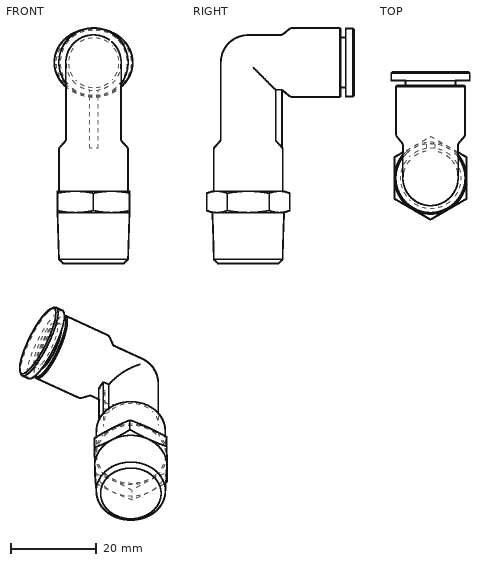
import cadquery as cq
import math


total_height = 55.45
body_radius = 8.15
stem_radius = 6.5
elbow_height = total_height - body_radius
socket_reach = 25.0

thread_length = 12.0
thread_top_radius = 8.5
thread_taper = 1 / 16
thread_chamfer = 1.0

hex_across_flats = 17.0
hex_height = 5.0
hex_chamfer_drop = 0.45
hex_sides = 6
hex_turn = 180 / hex_sides
hex_top = thread_length + hex_height

lower_shoulder_start = 18.35
lower_shoulder_end = 20.15
lower_shoulder_fillet = 0.75
socket_shoulder_start = 8.0
socket_shoulder_end = 9.95
socket_shoulder_fillet = 1.1

collar_width = 18.5
collar_height = 16.1
collar_thickness = 2.1
collar_chamfer = 0.4
neck_radius = 5.9
neck_gap = 1.1
mouth_chamfer = 0.3
socket_length = socket_reach - collar_thickness - neck_gap

web_thickness = 2.0
web_depth = 8.0


def stepped_leg(shoulder_start, shoulder_end, length, fillet):
    """Solid along +Z from the elbow centre, widening from stem to body over a cone."""
    leg = (
        cq.Workplane("XZ")
        .moveTo(0, 0)
        .lineTo(stem_radius, 0)
        .lineTo(stem_radius, shoulder_start)
        .lineTo(body_radius, shoulder_end)
        .lineTo(body_radius, length)
        .lineTo(0, length)
        .close()
        .revolve(360, (0, 0), (0, 1))
    )
    return leg.edges("%CIRCLE").edges("not(<Z or >Z)").fillet(fillet)


def threaded_leg():
    """Lower leg, hanging from the elbow centre down to the hexagon."""
    leg = stepped_leg(
        lower_shoulder_start, lower_shoulder_end, elbow_height - hex_top, lower_shoulder_fillet
    )
    return leg.rotate((0, 0, 0), (1, 0, 0), 180).translate((0, 0, elbow_height))


def socket_leg():
    """Horizontal leg from the elbow centre to the socket mouth."""
    leg = stepped_leg(
        socket_shoulder_start, socket_shoulder_end, socket_length, socket_shoulder_fillet
    )
    leg = leg.faces(">Z").edges().chamfer(mouth_chamfer)
    return leg.rotate((0, 0, 0), (1, 0, 0), -90).translate((0, 0, elbow_height))


def elbow_corner():
    """Ball that rounds the outside of the bend."""
    return cq.Workplane("XY").sphere(stem_radius).translate((0, 0, elbow_height))


def thread():
    """Tapered thread envelope with a chamfered lower end."""
    bottom_radius = thread_top_radius - thread_taper / 2 * thread_length
    cone = (
        cq.Workplane("XZ")
        .moveTo(0, 0)
        .lineTo(bottom_radius, 0)
        .lineTo(thread_top_radius, thread_length)
        .lineTo(0, thread_length)
        .close()
        .revolve(360, (0, 0), (0, 1))
    )
    return cone.faces("<Z").edges().chamfer(thread_chamfer)


def hexagon():
    """Hexagon with corners on the Y axis, its corners turned down at both ends."""
    flat_radius = hex_across_flats / 2
    corner_radius = flat_radius / math.cos(math.pi / hex_sides)
    prism = (
        cq.Workplane("XY", origin=(0, 0, thread_length))
        .polygon(hex_sides, 2 * corner_radius)
        .extrude(hex_height)
        .rotate((0, 0, 0), (0, 0, 1), hex_turn)
    )
    turned_blank = (
        cq.Workplane("XZ")
        .moveTo(0, thread_length)
        .lineTo(flat_radius, thread_length)
        .lineTo(corner_radius, thread_length + hex_chamfer_drop)
        .lineTo(corner_radius, hex_top - hex_chamfer_drop)
        .lineTo(flat_radius, hex_top)
        .lineTo(0, hex_top)
        .close()
        .revolve(360, (0, 0), (0, 1))
    )
    return prism.intersect(turned_blank)


def release_collar():
    """Oval push collar on a round neck."""
    neck = (
        cq.Workplane("XZ", origin=(0, socket_length, elbow_height))
        .circle(neck_radius)
        .extrude(-neck_gap)
    )
    collar = (
        cq.Workplane("XZ", origin=(0, socket_length + neck_gap, elbow_height))
        .ellipse(collar_width / 2, collar_height / 2)
        .extrude(-collar_thickness)
        .faces(">Y")
        .edges()
        .chamfer(collar_chamfer)
    )
    return neck.union(collar)


def inner_web():
    """Thin upright web joining the lower body to the underside of the socket leg."""
    web_height = elbow_height - hex_top
    return cq.Workplane("XY", origin=(0, 0, hex_top)).box(
        web_thickness, web_depth, web_height, centered=(True, False, False)
    )


result = (
    threaded_leg()
    .union(socket_leg())
    .union(elbow_corner())
    .union(inner_web())
    .union(hexagon())
    .union(thread())
    .union(release_collar())
)